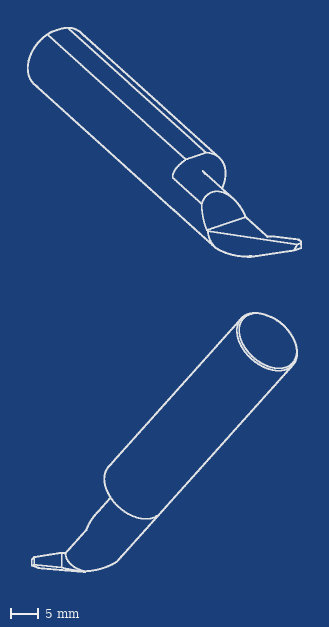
import cadquery as cq
import math

total_length = 75.5
shank_radius = 6.35
shank_length = 48.7
flat_height = 6.0
end_chamfer = 0.3

neck_radius = 4.45
neck_offset = -2.5
neck_fillet = 0.7
neck_side = neck_offset + neck_radius

ramp_end = 62.9
front_start = 63.3
front_angle = 43.4
relief_start = 68.7
tip_depth = 1.4
tip_draft = 0.45
arm_root = 70.45
arm_shoulder = (70.7, 2.65)
tip_top = shank_radius
tip_left = 74.2
tip_right = 75.15
tip_corner = 0.4


def front_y(x):
    """Y of the oblique front face at a given X."""
    return -shank_radius + (x - front_start) * math.tan(math.radians(front_angle))


def x_cylinder(radius, start, end, y=0):
    return cq.Workplane("YZ", origin=(start, y, 0)).circle(radius).extrude(end - start)


def make_shank():
    shank = x_cylinder(shank_radius, 0, shank_length)
    shank = shank.faces("<X").chamfer(end_chamfer)
    flat_cut = cq.Workplane("XY", origin=(0, 0, flat_height)).rect(
        2 * total_length, 2 * shank_radius
    ).extrude(shank_radius)
    return shank.cut(flat_cut)


def make_neck():
    """Neck of revolution with a concave fillet running up to the shoulder."""
    fillet_end = shank_length + neck_fillet
    fillet_center_y = neck_radius + neck_fillet
    fillet_middle = (
        fillet_end - neck_fillet * math.sqrt(0.5),
        fillet_center_y - neck_fillet * math.sqrt(0.5),
    )
    neck = (
        cq.Workplane("XY", origin=(0, neck_offset, 0))
        .moveTo(shank_length, 0)
        .lineTo(shank_length, fillet_center_y)
        .threePointArc(fillet_middle, (fillet_end, neck_radius))
        .lineTo(total_length, neck_radius)
        .lineTo(total_length, 0)
        .close()
        .revolve(360, (0, 0, 0), (1, 0, 0))
    )
    return neck.intersect(x_cylinder(shank_radius, shank_length, total_length))


def make_arm():
    """Hooked cutting arm reaching sideways from the end of the neck."""
    outline = [
        (relief_start, front_y(relief_start)),
        (arm_root, neck_side),
        arm_shoulder,
        (tip_left, tip_top),
        (tip_right, tip_top),
        (total_length, tip_top - tip_corner),
        (total_length, front_y(total_length)),
    ]
    return cq.Workplane("XY").polyline(outline).close().extrude(-neck_radius)


def make_side_envelope():
    """Ramp, rake face, drafted tip and sloping underside seen along Y."""
    outline = [
        (shank_length, -shank_radius),
        (shank_length, shank_radius),
        (ramp_end - shank_radius, shank_radius),
        (ramp_end, 0),
        (total_length, 0),
        (total_length - tip_draft, -tip_depth),
        (relief_start, -neck_radius),
        (relief_start, -shank_radius),
    ]
    return cq.Workplane("XZ").polyline(outline).close().extrude(2 * shank_radius, both=True)


def make_front_cut():
    outline = [
        (front_start, -shank_radius),
        (total_length, front_y(total_length)),
        (total_length, -shank_radius),
    ]
    return cq.Workplane("XY").polyline(outline).close().extrude(shank_radius, both=True)


working_end = make_neck().cut(make_front_cut()).union(make_arm())
working_end = working_end.intersect(make_side_envelope())
result = make_shank().union(working_end)